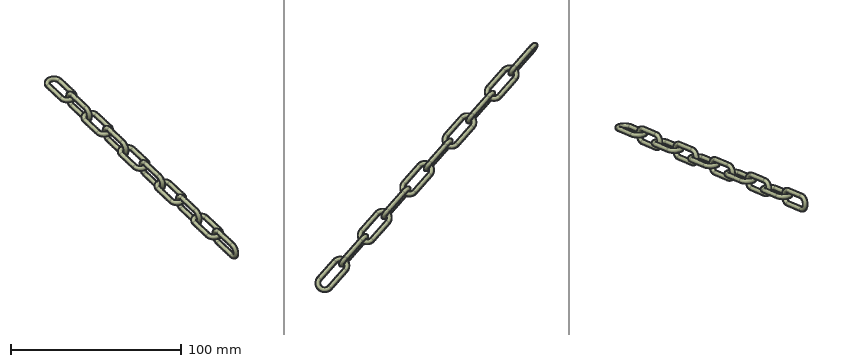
import cadquery as cq

chain_length = 196.0
link_count = 10
link_width = 11.0
wire_diameter = 3.0

pitch = (chain_length - 2 * wire_diameter) / link_count
link_length = pitch + 2 * wire_diameter
bend_radius = (link_width - wire_diameter) / 2
straight_length = link_length - link_width


def make_link():
    """Oval link of round wire, centred on the origin and lying flat in XY."""
    half_straight = straight_length / 2
    centreline = (
        cq.Workplane("XY")
        .moveTo(-half_straight, -bend_radius)
        .lineTo(half_straight, -bend_radius)
        .threePointArc((half_straight + bend_radius, 0), (half_straight, bend_radius))
        .lineTo(-half_straight, bend_radius)
        .threePointArc((-half_straight - bend_radius, 0), (-half_straight, -bend_radius))
        .close()
    )
    wire_section = cq.Workplane("YZ", origin=(-half_straight, -bend_radius, 0)).circle(wire_diameter / 2)
    return wire_section.sweep(centreline)


links = []
for index in range(link_count):
    quarter_turn = 90 * (index % 2)
    link_x = (index - (link_count - 1) / 2) * pitch
    link = make_link().rotate((0, 0, 0), (1, 0, 0), quarter_turn).translate((link_x, 0, 0))
    links.append(link.val())

result = cq.Compound.makeCompound(links)